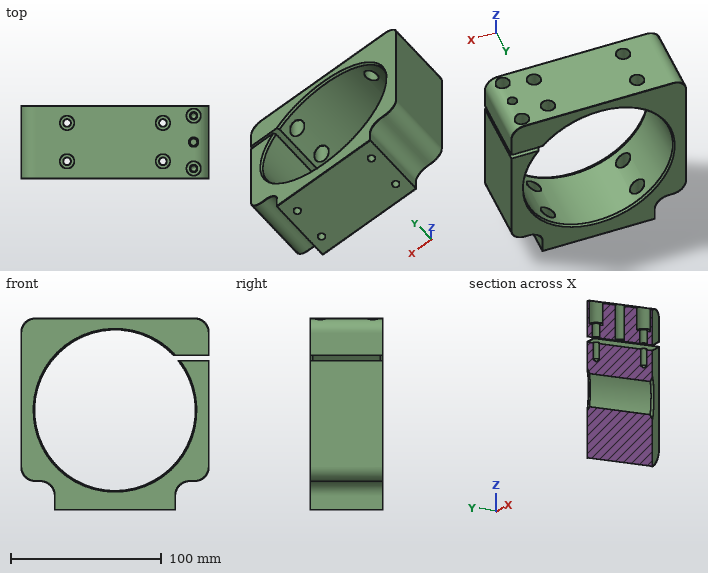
import cadquery as cq
import math

width = 124.5
depth = 48.3
height = 127.0
corner_radius = 9.5
edge_chamfer = 0.3

foot_width = 80.0
foot_height = 19.0
body_height = height - foot_height

bore_radius = 53.3
bore_chamfer_radial = 0.8
bore_chamfer_axial = 1.8
bore_z = 66.0

slot_bottom_z = 98.9
slot_top_z = 102.4
slot_height = slot_top_z - slot_bottom_z

head_diameter = 9.5
mount_spacing_x = 63.5
mount_spacing_y = 25.4
mount_hole_diameter = 5.0
mount_seat_z = 10.2

clamp_x = 52.1
clamp_spacing_y = 34.9
clamp_seat_z = 111.8
clamp_hole_diameter = 5.1
tap_diameter = 4.1
tap_depth = 11.4

spreader_diameter = 6.4
spreader_tip_diameter = 4.7
drill_point_angle = 118.0


def point_height(large_diameter, small_diameter=0.0):
    """Height of a drill-point cone between two diameters."""
    return (large_diameter - small_diameter) / 2 / math.tan(math.radians(drill_point_angle / 2))


def vertical_hole(x, y, bottom_z, top_z, diameter):
    return (
        cq.Workplane("XY", origin=(x, y, bottom_z))
        .circle(diameter / 2)
        .extrude(top_z - bottom_z)
    )


def drill_point(x, y, top_z, large_diameter, small_diameter=0.0):
    """Cone narrowing downward from top_z."""
    return cq.Workplane(
        cq.Solid.makeCone(
            large_diameter / 2,
            small_diameter / 2,
            point_height(large_diameter, small_diameter),
            cq.Vector(x, y, top_z),
            cq.Vector(0, 0, -1),
        )
    )


def make_block():
    body = (
        cq.Workplane("XY", origin=(0, 0, foot_height))
        .box(width, depth, body_height, centered=(True, True, False))
        .edges("|Y")
        .fillet(corner_radius)
    )
    foot = cq.Workplane("XY").box(
        foot_width, depth, foot_height + corner_radius, centered=(True, True, False)
    )
    tolerance = 0.1
    inner_corners = cq.selectors.BoxSelector(
        (-foot_width / 2 - tolerance, -depth, foot_height - tolerance),
        (foot_width / 2 + tolerance, depth, foot_height + tolerance),
    )
    block = body.union(foot).edges("|Y").edges(inner_corners).fillet(corner_radius)
    return block.faces("<Y or >Y").edges().chamfer(edge_chamfer)


def cut_bore(block):
    """Bore along Y, widening to a short cone at each end face."""
    mouth_radius = bore_radius + bore_chamfer_radial
    half_depth = depth / 2
    cone_start_y = half_depth - bore_chamfer_axial
    bore = (
        cq.Workplane("XY")
        .moveTo(0, -half_depth)
        .lineTo(mouth_radius, -half_depth)
        .lineTo(bore_radius, -cone_start_y)
        .lineTo(bore_radius, cone_start_y)
        .lineTo(mouth_radius, half_depth)
        .lineTo(0, half_depth)
        .close()
        .revolve(360, (0, 0), (0, 1))
        .translate((0, 0, bore_z))
    )
    return block.cut(bore)


def cut_slot(block):
    slot = cq.Workplane("XY", origin=(0, 0, slot_bottom_z)).box(
        width, depth, slot_height, centered=(False, True, False)
    )
    return block.cut(slot)


def cut_mounting_holes(block):
    for x in (-mount_spacing_x / 2, mount_spacing_x / 2):
        for y in (-mount_spacing_y / 2, mount_spacing_y / 2):
            block = block.cut(vertical_hole(x, y, mount_seat_z, height, head_diameter))
            block = block.cut(vertical_hole(x, y, 0, mount_seat_z, mount_hole_diameter))
    return block


def cut_clamp_holes(block):
    tap_bottom_z = slot_bottom_z - tap_depth
    for y in (-clamp_spacing_y / 2, clamp_spacing_y / 2):
        block = block.cut(vertical_hole(clamp_x, y, clamp_seat_z, height, head_diameter))
        block = block.cut(vertical_hole(clamp_x, y, slot_top_z, clamp_seat_z, clamp_hole_diameter))
        block = block.cut(vertical_hole(clamp_x, y, tap_bottom_z, slot_bottom_z, tap_diameter))
        block = block.cut(drill_point(clamp_x, y, tap_bottom_z, tap_diameter))
    return block


def cut_spreader_hole(block):
    tip_top_z = slot_top_z + point_height(spreader_diameter, spreader_tip_diameter)
    block = block.cut(vertical_hole(clamp_x, 0, tip_top_z, height, spreader_diameter))
    return block.cut(drill_point(clamp_x, 0, tip_top_z, spreader_diameter, spreader_tip_diameter))


result = make_block()
result = cut_bore(result)
result = cut_slot(result)
result = cut_mounting_holes(result)
result = cut_clamp_holes(result)
result = cut_spreader_hole(result)